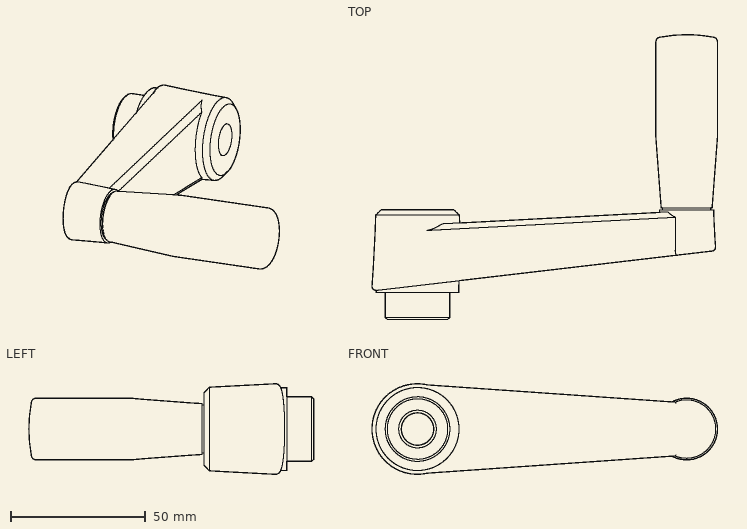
import cadquery as cq
import math

draft_angle = 3.0
crank_radius = 100.0

hub_height = 30.8
hub_base_radius = 17.1
hub_top_chamfer = 2.0
collar_radius = 15.4
boss_diameter = 24.0
boss_length = 10.0
boss_chamfer = 0.8
bore_diameter = 12.0
bore_chamfer = 1.0

tip_height = 30.7
tip_base_radius = 11.7
arm_start_x = 3.7
arm_end_x = 95.6
front_face_y = 2.6
front_face_slope = 0.117
back_face_y = 25.0
back_face_slope = 0.053
back_chamfer = 2.2
front_edge_fillet = 1.5

handle_radius = 23.0 / 2
handle_small_radius = 9.5
handle_neck_radius = 9.0
handle_start_y = 31.5
handle_shoulder_y = 57.8
handle_rim_y = 95.0
handle_top_y = 95.8
handle_edge_fillet = 1.9

boss_radius = boss_diameter / 2
bore_radius = bore_diameter / 2
arm_start_half_width = math.sqrt(hub_base_radius**2 - arm_start_x**2)
arm_end_half_width = math.sqrt(tip_base_radius**2 - (crank_radius - arm_end_x) ** 2)
side_slope = (arm_start_half_width - arm_end_half_width) / (arm_end_x - arm_start_x)
hub_end_half_width = arm_start_half_width + side_slope * arm_start_x
tip_end_half_width = hub_end_half_width - side_slope * crank_radius


def plane_at(y):
    """XZ sketch plane facing +Y at height y; sketch x is -X of the part."""
    return cq.Workplane(cq.Plane(origin=(0, y, 0), xDir=(-1, 0, 0), normal=(0, 1, 0)))


def drafted_disc(x, radius, height):
    top_radius = radius - height * math.tan(math.radians(draft_angle))
    cone = cq.Solid.makeCone(radius, top_radius, height, cq.Vector(x, 0, 0), cq.Vector(0, 1, 0))
    return cq.Workplane("XY").newObject([cone])


def back_height(x):
    return back_face_y + back_face_slope * x


def front_height(x):
    return front_face_y + front_face_slope * x


def make_beam():
    """Tapered straight part of the arm with a sloping, chamfered back."""
    beam = (
        plane_at(0)
        .polyline([
            (0, -hub_end_half_width),
            (-crank_radius, -tip_end_half_width),
            (-crank_radius, tip_end_half_width),
            (0, hub_end_half_width),
        ])
        .close()
        .extrude(hub_height, taper=draft_angle)
    )
    beam_space = (
        cq.Workplane("XY")
        .polyline([
            (0, 0),
            (0, back_height(0)),
            (crank_radius, back_height(crank_radius)),
            (crank_radius, 0),
        ])
        .close()
        .extrude(hub_base_radius, both=True)
    )
    beam = beam.intersect(beam_space)
    back_edges = beam.faces(cq.selectors.NearestToPointSelector(
        (crank_radius / 2, back_height(crank_radius / 2), 0)
    )).edges("not(|Z)")
    return beam.newObject(back_edges.vals()).chamfer(back_chamfer)


def make_arm():
    """Hub, beam and tip, cut to the sloping front face with a rounded edge."""
    hub = drafted_disc(0, hub_base_radius, hub_height).faces(">Y").chamfer(hub_top_chamfer)
    tip = drafted_disc(crank_radius, tip_base_radius, tip_height)
    arm = hub.union(make_beam()).union(tip)
    left_x = -2 * hub_base_radius
    right_x = crank_radius + 2 * tip_base_radius
    front_waste = (
        cq.Workplane("XY")
        .polyline([
            (left_x, front_height(left_x)),
            (right_x, front_height(right_x)),
            (right_x, -hub_height),
            (left_x, -hub_height),
        ])
        .close()
        .extrude(2 * hub_base_radius, both=True)
    )
    arm = arm.cut(front_waste)
    return arm.faces(cq.selectors.NearestToPointSelector(
        (crank_radius / 2, front_height(crank_radius / 2), 0)
    )).edges().fillet(front_edge_fillet)


def make_collar_and_boss():
    """Turned hub insert: wide collar inside the hub and a chamfered boss in front."""
    collar = plane_at(0).circle(collar_radius).extrude(hub_height / 2)
    boss = plane_at(-boss_length).circle(boss_radius).extrude(boss_length)
    return collar.union(boss.faces("<Y").chamfer(boss_chamfer))


def make_bore():
    """Through bore with a countersink at the boss end."""
    bore = plane_at(-boss_length).circle(bore_radius).extrude(boss_length + hub_height)
    countersink = (
        plane_at(-boss_length)
        .circle(bore_radius + bore_chamfer)
        .workplane(offset=bore_chamfer)
        .circle(bore_radius)
        .loft()
    )
    return bore.union(countersink)


def make_handle():
    """Revolved grip: neck, cone, cylinder, rounded rim and a shallow domed end."""
    dome_edge_radius = handle_radius - handle_edge_fillet
    round_mid = handle_edge_fillet * math.sqrt(0.5)
    round_center_y = handle_rim_y - handle_edge_fillet
    dome_radius = (dome_edge_radius**2 + (handle_top_y - handle_rim_y) ** 2) / (
        2 * (handle_top_y - handle_rim_y)
    )
    dome_mid_x = dome_edge_radius / 2
    dome_mid_y = handle_top_y - dome_radius + math.sqrt(dome_radius**2 - dome_mid_x**2)
    return (
        cq.Workplane("XY", origin=(crank_radius, 0, 0))
        .moveTo(0, tip_height)
        .lineTo(handle_neck_radius, tip_height)
        .lineTo(handle_neck_radius, handle_start_y)
        .lineTo(handle_small_radius, handle_start_y)
        .lineTo(handle_radius, handle_shoulder_y)
        .lineTo(handle_radius, round_center_y)
        .threePointArc(
            (dome_edge_radius + round_mid, round_center_y + round_mid),
            (dome_edge_radius, handle_rim_y),
        )
        .threePointArc((dome_mid_x, dome_mid_y), (0, handle_top_y))
        .close()
        .revolve(360, (0, 0, 0), (0, 1, 0))
    )


result = make_arm().union(make_collar_and_boss()).cut(make_bore()).union(make_handle())